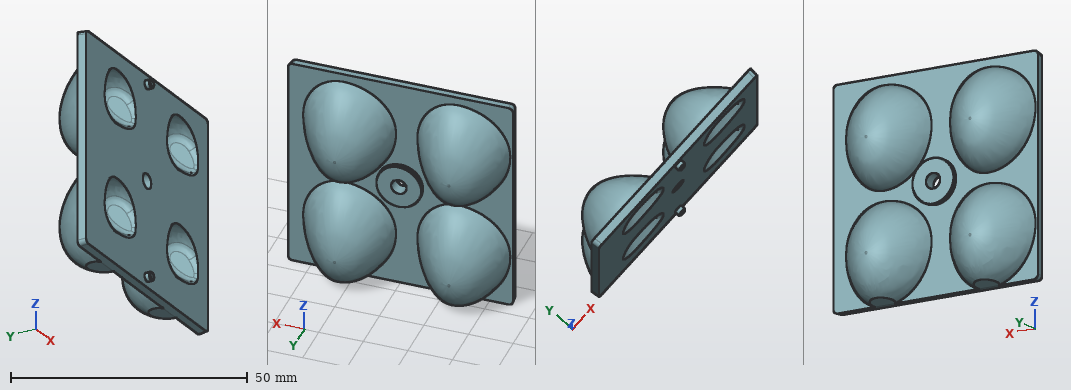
import cadquery as cq
import math

plate_size = 50.0
plate_thickness = 2.0
corner_radius = 1.0
draft_angle = 5.0

pin_spacing = 45.0
pin_diameter = 2.0
pin_length = 1.3
pin_chamfer = 0.25

hole_diameter = 3.4
boss_diameter = 10.0
boss_height = 1.1
groove_depth = 0.2

lens_pitch = 25.4
section_count = 10
points_per_section = 24
tip_angle = 88.5

lens_height = 9.65
lens_pole = (-1.5, -3.5)
lens_reaches = (8.95, 10.4, 11.7, 12.65)
lens_exponents = (1.25, 1.9, 1.05, 1.4)
lens_fullness = 2.0

cavity_depth = 5.75
cavity_pole = (3.0, 3.5)
cavity_reaches = (8.1, 8.1, 4.55, 4.45)
cavity_exponents = (1.2, 1.2, 1.5, 1.5)
cavity_fullness = 2.4

facet_point = (6.0, 3.2, 0.8)
facet_normal = (0.8, 0.6, -0.05)
facet_fillet = 2.0
facet_block = 20.0


def section_wire(base_y, level, height, pole, reaches, exponents, fullness):
    """Closed four-quadrant oval, at a fraction `level` of the height.

    The centre moves from the optical axis at the base to the pole at the top.
    Fullness 2 gives elliptical quadrants on the +X half; more makes them squarer.
    """
    shrunk = [reach * math.sqrt(1 - level**power) for reach, power in zip(reaches, exponents)]
    points = []
    for i in range(points_per_section):
        angle = 2 * math.pi * i / points_per_section
        across = math.cos(angle)
        upward = math.sin(angle)
        if across > 0:
            across = across ** (2 / fullness)
            upward = math.copysign(abs(upward) ** (2 / fullness), upward)
        reach_x = shrunk[0] if across > 0 else shrunk[2]
        reach_z = shrunk[1] if upward > 0 else shrunk[3]
        x = pole[0] * level + reach_x * across
        z = pole[1] * level + reach_z * upward
        points.append(cq.Vector(x, base_y + height * level, z))
    return cq.Wire.assembleEdges([cq.Edge.makeSpline(points, periodic=True)])


def freeform_dome(base_y, crown, pole, reaches, exponents, fullness):
    """Smooth dome rising along +Y from base_y, with a different profile towards each side."""
    tip_level = math.sin(math.radians(tip_angle))
    wires = []
    for i in range(section_count):
        level = math.sin(math.radians(tip_angle * i / (section_count - 1)))
        wires.append(section_wire(base_y, level, crown / tip_level, pole, reaches, exponents, fullness))
    return cq.Workplane(obj=cq.Solid.makeLoft(wires))


def at_lens_positions(body):
    """Copies of a lens-local body on the 2 x 2 lens grid."""
    half = lens_pitch / 2
    return [body.translate((x, 0, z)) for x in (-half, half) for z in (-half, half)]


def drafted_block(depth):
    """Rounded square tapering away from the back face, towards -Y (or +Y if depth is negative)."""
    block = (
        cq.Workplane("XZ", origin=(0, plate_thickness, 0))
        .rect(plate_size, plate_size)
        .extrude(depth, taper=draft_angle)
    )
    return block.edges("not(|X or |Z)").fillet(corner_radius)


def cavity():
    """Dome-shaped hollow with one side cut flat and blended into the rest."""
    dome = freeform_dome(0, cavity_depth, cavity_pole, cavity_reaches, cavity_exponents, cavity_fullness)
    beyond_facet = (
        cq.Workplane(cq.Plane(origin=facet_point, normal=facet_normal))
        .rect(facet_block, facet_block)
        .extrude(facet_block)
    )
    faceted = dome.cut(beyond_facet)
    facet_rim = faceted.faces(cq.NearestToPointSelector(facet_point)).edges()
    return facet_rim.fillet(facet_fillet)


def grooved_boss():
    """Round boss with a shallow groove in the middle third of its side."""
    third = boss_height / 3
    body = (
        cq.Workplane("XZ", origin=(0, plate_thickness, 0))
        .circle(boss_diameter / 2)
        .extrude(-boss_height)
    )
    groove = (
        cq.Workplane("XZ", origin=(0, plate_thickness + third, 0))
        .circle(boss_diameter / 2)
        .circle(boss_diameter / 2 - groove_depth)
        .extrude(-third)
    )
    return body.cut(groove)


def pin(z):
    """Chamfered locating pin on the front face, at height z."""
    return (
        cq.Workplane("XZ", origin=(0, 0, z))
        .circle(pin_diameter / 2)
        .extrude(pin_length)
        .faces("<Y")
        .chamfer(pin_chamfer)
    )


plate = drafted_block(plate_thickness)
lens_bounds = drafted_block(-lens_height)
boss = grooved_boss()
hole = cq.Workplane("XZ").circle(hole_diameter / 2).extrude(-plate_thickness - boss_height)

lens = freeform_dome(plate_thickness, lens_height, lens_pole, lens_reaches, lens_exponents, lens_fullness)
lens_cavity = cavity()

result = plate.union(boss)
for dome in at_lens_positions(lens):
    result = result.union(dome.intersect(lens_bounds))
for z in (-pin_spacing / 2, pin_spacing / 2):
    result = result.union(pin(z))
result = result.cut(hole)
for void in at_lens_positions(lens_cavity):
    result = result.cut(void)